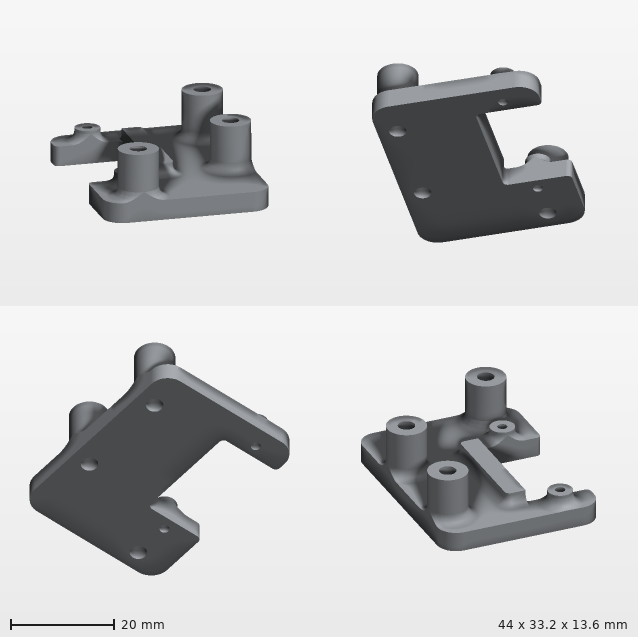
import cadquery as cq
import math

LENGTH = 44.0
WIDTH = 33.2
THICKNESS = 4.0
OUTER_CORNER_RADIUS = 4.0

TALL_TOP = 13.6
TALL_RADIUS = 4.0
TALL_HOLE_DIAMETER = 3.4
LOW_TOP = 6.6
LOW_RADIUS = 2.5
LOW_HOLE_DIAMETER = 2.0
BASE_FILLET = 2.0

FRONT_ROW_Y = 7.2
BACK_ROW_Y = WIDTH - TALL_RADIUS
LOW_LEFT_X = 4.0
LOW_RIGHT_X = 32.0
TALL_CENTRES = [
    (8.0, BACK_ROW_Y),
    (28.0, BACK_ROW_Y),
    (LENGTH - TALL_RADIUS, FRONT_ROW_Y),
]
LOW_CENTRES = [(LOW_LEFT_X, FRONT_ROW_Y), (LOW_RIGHT_X, FRONT_ROW_Y)]

NOTCH_LEFT = LOW_LEFT_X + LOW_RADIUS
NOTCH_RIGHT = LOW_RIGHT_X - LOW_RADIUS
NOTCH_WIDTH = NOTCH_RIGHT - NOTCH_LEFT
NOTCH_DEPTH = 13.4
SMALL_CORNER_RADIUS = 1.0

BAR_DEPTH = 4.0
BAR_TOP = LOW_TOP

PICK_MARGIN = 0.45


def edges_between(low, high):
    """Selector for edges centred in the box from low to high, grown by the pick margin."""
    return cq.selectors.BoxSelector(
        tuple(value - PICK_MARGIN for value in low),
        tuple(value + PICK_MARGIN for value in high),
    )


def outline_prism(height):
    """Plate outline with the notch and rounded corners, extruded from Z = 0."""
    body = (
        cq.Workplane("XY")
        .rect(LENGTH, WIDTH, centered=False)
        .extrude(height)
        .edges("|Z")
        .fillet(OUTER_CORNER_RADIUS)
    )
    notch = (
        cq.Workplane("XY")
        .moveTo(NOTCH_LEFT, 0)
        .rect(NOTCH_WIDTH, NOTCH_DEPTH, centered=False)
        .extrude(height)
    )
    notch_edges = edges_between((NOTCH_LEFT, 0, 0), (NOTCH_RIGHT, NOTCH_DEPTH, height))
    return body.cut(notch).edges("|Z").edges(notch_edges).fillet(SMALL_CORNER_RADIUS)


def standoff(centre, radius, top):
    """Round post with a concave fillet flaring out onto the plate."""
    fillet_top = THICKNESS + BASE_FILLET
    flare_radius = radius + BASE_FILLET
    arc_reach = BASE_FILLET * (1 - math.sqrt(0.5))
    profile = (
        cq.Workplane("XZ")
        .lineTo(flare_radius, 0)
        .lineTo(flare_radius, THICKNESS)
        .threePointArc((radius + arc_reach, THICKNESS + arc_reach), (radius, fillet_top))
        .lineTo(radius, top)
        .lineTo(0, top)
        .close()
    )
    post = profile.revolve(360, (0, 0), (0, 1))
    return post.translate((centre[0], centre[1], 0))


def bar():
    """Bar with rounded back corners and a concave base fillet, trimmed flush with the notch wall."""
    overrun = 2 * BASE_FILLET
    back = NOTCH_DEPTH + BAR_DEPTH
    front = NOTCH_DEPTH - overrun
    block = (
        cq.Workplane("XY", origin=(0, 0, THICKNESS))
        .moveTo(NOTCH_LEFT, front)
        .rect(NOTCH_WIDTH, back - front, centered=False)
        .extrude(BAR_TOP - THICKNESS)
        .edges("|Z and >Y")
        .fillet(SMALL_CORNER_RADIUS)
    )
    base = cq.Workplane("XY").rect(LENGTH, WIDTH, centered=False).extrude(THICKNESS)
    base_edges = edges_between((NOTCH_LEFT, front, THICKNESS), (NOTCH_RIGHT, back, THICKNESS))
    filleted = base.union(block).edges(base_edges).fillet(BASE_FILLET)
    behind_notch = (
        cq.Workplane("XY")
        .moveTo(0, NOTCH_DEPTH)
        .rect(LENGTH, WIDTH - NOTCH_DEPTH, centered=False)
        .extrude(BAR_TOP)
    )
    return filleted.intersect(behind_notch)


def holes(centres, diameter):
    """Through holes along Z."""
    return cq.Workplane("XY").pushPoints(centres).circle(diameter / 2).extrude(TALL_TOP)


raised = bar()
for centre in TALL_CENTRES:
    raised = raised.union(standoff(centre, TALL_RADIUS, TALL_TOP))
for centre in LOW_CENTRES:
    raised = raised.union(standoff(centre, LOW_RADIUS, LOW_TOP))

raised = raised.intersect(outline_prism(TALL_TOP))

result = outline_prism(THICKNESS).union(raised)
result = result.cut(holes(TALL_CENTRES, TALL_HOLE_DIAMETER))
result = result.cut(holes(LOW_CENTRES, LOW_HOLE_DIAMETER))